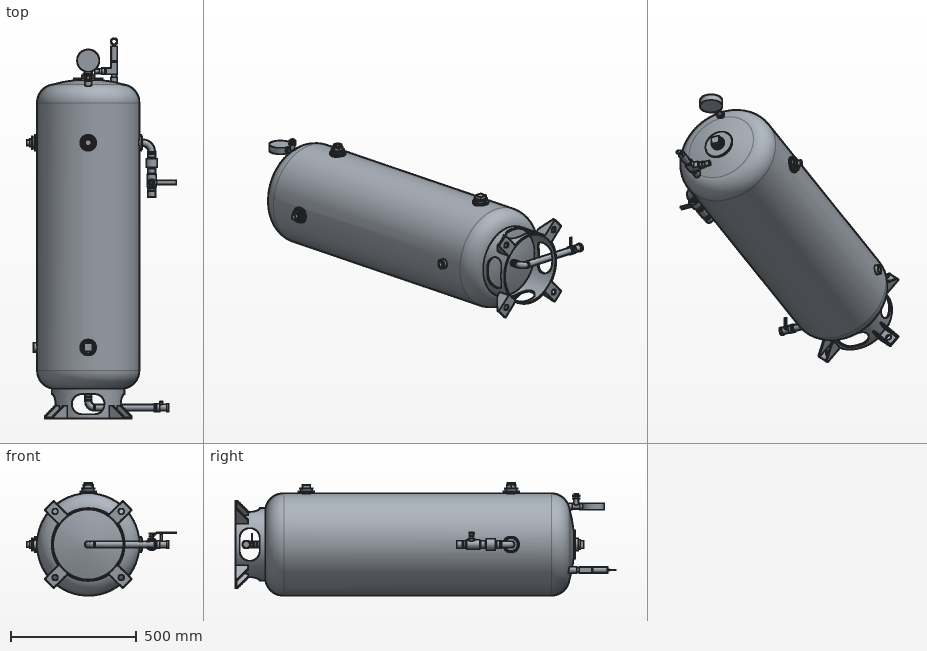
import cadquery as cq
import math


total_length = 1515.0
tank_radius = 205.0
knuckle_radius = 74.0
crown_rim_radius = 141.0
crown_height = 20.0
lower_seam_y = 192.0
upper_seam_y = 1257.0
knuckle_center_radius = tank_radius - knuckle_radius
knuckle_rim_offset = crown_rim_radius - knuckle_center_radius
knuckle_height = math.sqrt(knuckle_radius**2 - knuckle_rim_offset**2)
upper_crown_y = upper_seam_y + knuckle_height
lower_crown_y = lower_seam_y - knuckle_height

skirt_radius = 145.0
skirt_thickness = 6.0
window_length = 129.0
window_height = 79.0
window_center_y = 58.0
window_corner_radius = 38.0
foot_count = 4
foot_reach = 220.0
foot_width = 51.0
foot_thickness = 6.0
foot_height = 51.0
foot_lip = 9.0
foot_shoulder = 160.0
foot_hole_radius = 186.0
foot_hole_diameter = 23.0

upper_port_y = 1098.0
lower_port_y = 283.0
port_depth = 15.0
collar_diameter = 64.0
plug_diameter = 51.0
port_height = 20.0
port_steps = [
    (-port_depth, 3.0, 58.0),
    (3.0, 8.0, collar_diameter),
    (8.0, 17.0, 45.0),
    (17.0, port_height, plug_diameter),
]
tallest_plug = 41.0
square_head_width = 32.0
square_head_height = 14.0
coupling_diameter = 38.0
coupling_bore = 27.0
coupling_height = 14.0

outlet_x = 253.0
outlet_pipe_diameter = 27.0
outlet_bend_radius = 36.0
outlet_sleeve_diameter = 32.0
outlet_end_y = 881.0
drain_y = 44.0
drain_bend_radius = 25.0
drain_pipe_diameter = 25.0

gauge_y = 1425.0
gauge_z = 151.0
gauge_diameter = 90.0
gauge_thickness = 27.0
gauge_valve_y = 1357.0
safety_x = 103.0
safety_z = -101.0
tee_width = 25.0
tee_branch_y = 1383.0
ring_diameter = 27.0
ring_wire_diameter = 3.0
pull_pin_diameter = 5.1

X_AXIS = (1, 0, 0)
Y_AXIS = (0, 1, 0)
Z_AXIS = (0, 0, 1)


def opposite(axis):
    return tuple(-value for value in axis)


def stepped_shaft(origin, axis, steps):
    """Round sections along an axis, each given as (start, end, diameter)."""
    start_point = cq.Vector(*origin)
    direction = cq.Vector(*axis)
    shaft = cq.Workplane()
    for start, end, diameter in steps:
        base = start_point + direction * start
        shaft = shaft.add(cq.Solid.makeCylinder(diameter / 2, end - start, base, direction))
    return shaft.combine()


def box_between(low, high):
    size = [b - a for a, b in zip(low, high)]
    return cq.Workplane().box(*size, centered=False).translate(low)


def swept_pipe(path, plane, diameter):
    return cq.Workplane(plane).circle(diameter / 2).sweep(path)


def tank():
    """Cylinder closed by two heads, each a rounded knuckle running into a shallow dished crown."""
    knuckle_mid_angle = (math.asin(knuckle_rim_offset / knuckle_radius) + math.pi / 2) / 2
    knuckle_mid_radius = knuckle_center_radius + knuckle_radius * math.sin(knuckle_mid_angle)
    knuckle_mid_rise = knuckle_radius * math.cos(knuckle_mid_angle)
    lower_knuckle_mid = (knuckle_mid_radius, lower_seam_y - knuckle_mid_rise)
    upper_knuckle_mid = (knuckle_mid_radius, upper_seam_y + knuckle_mid_rise)
    lower_apex_y = lower_crown_y - crown_height
    upper_apex_y = upper_crown_y + crown_height
    crown_sphere_radius = (crown_rim_radius**2 + crown_height**2) / (2 * crown_height)
    crown_mid_angle = math.asin(crown_rim_radius / crown_sphere_radius) / 2
    crown_mid_radius = crown_sphere_radius * math.sin(crown_mid_angle)
    crown_mid_drop = crown_sphere_radius * (1 - math.cos(crown_mid_angle))
    outline = (
        cq.Workplane("XY")
        .moveTo(0, lower_apex_y)
        .threePointArc((crown_mid_radius, lower_apex_y + crown_mid_drop), (crown_rim_radius, lower_crown_y))
        .threePointArc(lower_knuckle_mid, (tank_radius, lower_seam_y))
        .lineTo(tank_radius, upper_seam_y)
        .threePointArc(upper_knuckle_mid, (crown_rim_radius, upper_crown_y))
        .threePointArc((crown_mid_radius, upper_apex_y - crown_mid_drop), (0, upper_apex_y))
        .close()
    )
    return outline.revolve(360, (0, 0, 0), Y_AXIS)


def skirt():
    """Tube carrying the tank, pierced by four rounded windows on the X and Z sides."""
    top_y = lower_seam_y - knuckle_radius / 2
    tube = stepped_shaft((0, 0, 0), Y_AXIS, [(0, top_y, 2 * skirt_radius)])
    tube = tube.cut(stepped_shaft((0, 0, 0), Y_AXIS, [(0, top_y, 2 * (skirt_radius - skirt_thickness))]))
    window = (
        cq.Workplane("XY")
        .box(window_length, window_height, 2 * tank_radius)
        .edges("|Z")
        .fillet(window_corner_radius)
        .translate((0, window_center_y, 0))
    )
    return tube.cut(window).cut(window.rotate((0, 0, 0), Y_AXIS, 90))


def foot():
    """Channel-shaped foot pointing along +X: a drilled base plate between two tapered cheeks."""
    inner_x = skirt_radius - skirt_thickness
    half_width = foot_width / 2
    base = box_between((inner_x, 0, -half_width), (foot_reach, foot_thickness, half_width))
    hole = stepped_shaft((foot_hole_radius, 0, 0), Y_AXIS, [(0, foot_thickness, foot_hole_diameter)])
    cheek = (
        cq.Workplane("XY")
        .workplane(offset=half_width - foot_thickness)
        .polyline([(inner_x, 0), (foot_reach, 0), (foot_reach, foot_lip), (foot_shoulder, foot_height),
                   (inner_x, foot_height)])
        .close()
        .extrude(foot_thickness)
    )
    return base.cut(hole).union(cheek).union(cheek.mirror("XY"))


def side_plug():
    """Round-ended plug in the port facing -X."""
    origin = (-tank_radius, upper_port_y, 0)
    nut_top = 27.0
    head = [(port_height, nut_top, 32.0), (nut_top, tallest_plug, 23.0)]
    return stepped_shaft(origin, opposite(X_AXIS), port_steps + head)


def top_plug():
    """Plug with a hexagonal waist and a disc cap in the upper port facing +Z."""
    hex_width = 41.0
    hex_top = 33.0
    cap_bottom = 38.0
    plug = stepped_shaft((0, upper_port_y, tank_radius), Z_AXIS,
                         port_steps + [(hex_top, cap_bottom, 25.0), (cap_bottom, tallest_plug, 32.0)])
    hexagon = cq.Workplane("XY").polygon(6, hex_width).extrude(hex_top - port_height)
    return plug.union(hexagon.translate((0, upper_port_y, tank_radius + port_height)))


def square_head():
    return cq.Workplane("XY").rect(square_head_width, square_head_width).extrude(square_head_height)


def lower_plug():
    """Square-headed plug in the lower port facing +Z."""
    plug = stepped_shaft((0, lower_port_y, tank_radius), Z_AXIS, port_steps)
    return plug.union(square_head().translate((0, lower_port_y, tank_radius + port_height)))


def end_plug():
    """Square-headed plug on a flat pad at the middle of the upper head."""
    pad_top = 1354.0
    shoulder_y = 1366.0
    plug_top = 1374.0
    plug = stepped_shaft((0, 0, 0), Y_AXIS, [
        (upper_crown_y, pad_top, 115.0),
        (pad_top, shoulder_y, plug_diameter),
        (shoulder_y, plug_top, 38.0),
    ])
    head = square_head().rotate((0, 0, 0), X_AXIS, -90)
    return plug.union(head.translate((0, plug_top, 0)))


def outlet_line():
    """Elbow on the +X port leading towards the feet through a union and a lever valve."""
    port = stepped_shaft((tank_radius, upper_port_y, 0), X_AXIS,
                         [(-port_depth, 6.0, collar_diameter), (6.0, 10.0, plug_diameter)])
    bend_start_x = outlet_x - outlet_bend_radius
    path = (
        cq.Workplane("XY")
        .moveTo(tank_radius, upper_port_y)
        .lineTo(bend_start_x, upper_port_y)
        .radiusArc((outlet_x, upper_port_y - outlet_bend_radius), outlet_bend_radius)
        .lineTo(outlet_x, outlet_end_y)
    )
    plane = cq.Plane((tank_radius, upper_port_y, 0), Y_AXIS, X_AXIS)
    line = port.union(swept_pipe(path, plane, outlet_pipe_diameter))
    sleeve = outlet_sleeve_diameter
    return line.union(stepped_shaft((outlet_x, 0, 0), Y_AXIS, [
        (outlet_end_y, 904.0, sleeve),
        (909.0, 918.0, sleeve),
        (922.0, 972.0, 36.0),
        (977.0, 995.0, sleeve),
        (1000.0, 1035.0, 45.0),
        (1040.0, 1053.0, sleeve),
        (1057.0, 1062.0, sleeve),
    ]))


def outlet_lever():
    """Valve stem and the cranked flat lever reaching furthest along +X."""
    lever_y = 940.0
    lever_width = 18.0
    lever_end_x = 351.0
    lever_top_z = 48.0
    lever_thickness = 3.0
    low_z = 30.0
    crank_x = 257.0
    bend_x = 273.0
    heel_x = 242.0
    bonnet_top_z = 23.0
    nut_z = 42.0
    nut_top_z = 45.0
    underside = [(heel_x, low_z), (crank_x, low_z), (bend_x, lever_top_z - lever_thickness),
                 (lever_end_x, lever_top_z - lever_thickness)]
    upper_side = [(x, z + lever_thickness) for x, z in reversed(underside)]
    lever = (
        cq.Workplane("XY")
        .polyline(underside + upper_side)
        .close()
        .extrude(lever_width)
        .rotate((0, 0, 0), X_AXIS, 90)
        .translate((0, lever_y + lever_width / 2, 0))
    )
    stem = stepped_shaft((outlet_x, lever_y, 0), Z_AXIS, [
        (0, bonnet_top_z, 25.0),
        (bonnet_top_z, nut_z, 11.4),
        (nut_z, nut_top_z, 20.0),
    ])
    return lever.union(stem)


def drain_line():
    """Elbow under the lower head, pipe through the skirt window and a small drain valve."""
    start_y = lower_crown_y - crown_height / 2
    end_x = 321.0
    path = (
        cq.Workplane("XY")
        .moveTo(0, start_y)
        .lineTo(0, drain_y + drain_bend_radius)
        .radiusArc((drain_bend_radius, drain_y), -drain_bend_radius)
        .lineTo(end_x, drain_y)
    )
    plane = cq.Plane((0, start_y, 0), X_AXIS, opposite(Y_AXIS))
    line = swept_pipe(path, plane, drain_pipe_diameter)
    fittings = stepped_shaft((0, drain_y, 0), X_AXIS, [
        (21.0, 27.0, 27.0),
        (262.0, 268.0, 32.0),
        (273.0, 285.0, 32.0),
        (285.0, 312.0, 27.0),
        (312.0, end_x, 32.0),
    ])
    sleeves = stepped_shaft((0, 0, 0), Y_AXIS, [(71.0, 77.0, 27.0), (85.0, 90.0, 27.0)])
    return line.union(fittings).union(sleeves)


def drain_lever():
    """Thin upright handle standing on a short post beside the drain valve."""
    lever_x = 291.0
    lever_y = 67.0
    lever_width = 9.0
    lever_thickness = 3.0
    lever_top_z = 42.0
    upright = box_between((lever_x - lever_width / 2, lever_y - lever_thickness / 2, 0),
                          (lever_x + lever_width / 2, lever_y + lever_thickness / 2, lever_top_z))
    return upright.union(stepped_shaft((lever_x, drain_y, 0), Y_AXIS, [(0, lever_y - drain_y, 13.8)]))


def pressure_gauge():
    """Dial gauge on a stub pipe with a small bleed cock pointing along +Z."""
    embedded_y = 1272.0
    dial = stepped_shaft((0, gauge_y, gauge_z), Z_AXIS,
                         [(-gauge_thickness / 2, gauge_thickness / 2, gauge_diameter)])
    stub = stepped_shaft((0, 0, gauge_z), Y_AXIS, [
        (embedded_y, 1342.0, 27.0),
        (1342.0, 1372.0, 21.0),
        (1372.0, gauge_y, 27.0),
    ])
    cock = stepped_shaft((0, gauge_valve_y, gauge_z), Z_AXIS, [
        (0, 30.0, 20.0),
        (30.0, 33.0, 27.0),
        (33.0, 50.0, 15.0),
        (41.0, 44.0, 27.0),
    ])
    return dial.union(stub).union(cock)


def safety_valve():
    """Square tee with a side branch towards -X, topped by a safety valve and its pull ring."""
    embedded_y = 1302.0
    body_top = 1483.0
    tee_top = 1419.0
    tee_half = tee_width / 2
    tee_arm_length = 32.0
    column = stepped_shaft((safety_x, 0, safety_z), Y_AXIS, [
        (embedded_y, 1358.0, 27.0),
        (1358.0, tee_branch_y, 20.0),
        (tee_top, 1424.0, 23.0),
        (1424.0, body_top, tee_width),
        (body_top, total_length - ring_diameter + ring_wire_diameter / 2, pull_pin_diameter),
    ])
    tee = box_between((safety_x - tee_half, tee_branch_y - tee_half, safety_z - tee_half),
                      (safety_x + tee_half, tee_top, safety_z + tee_half))
    branch_arm = box_between((safety_x - tee_arm_length, tee_branch_y - tee_half, safety_z - tee_half),
                             (safety_x, tee_branch_y + tee_half, safety_z + tee_half))
    branch = stepped_shaft((safety_x, tee_branch_y, safety_z), opposite(X_AXIS), [
        (tee_arm_length, 36.0, 20.0),
        (36.0, 48.0, 25.0),
        (48.0, 59.0, 21.0),
        (59.0, 77.0, 20.0),
    ])
    ring_radius = (ring_diameter - ring_wire_diameter) / 2
    ring_center = cq.Vector(safety_x, total_length - ring_diameter / 2, safety_z)
    ring = cq.Solid.makeTorus(ring_radius, ring_wire_diameter / 2, ring_center, cq.Vector(*Z_AXIS))
    return column.union(tee).union(branch_arm).union(branch).union(cq.Workplane(ring))


result = tank().union(skirt())
for index in range(foot_count):
    angle = (index + 0.5) * 360 / foot_count
    result = result.union(foot().rotate((0, 0, 0), Y_AXIS, angle))

for fitting in (side_plug, top_plug, lower_plug, end_plug, outlet_line, outlet_lever, drain_line, drain_lever,
                pressure_gauge, safety_valve):
    result = result.union(fitting())

coupling_origin = (-tank_radius, lower_port_y, 0)
result = result.union(stepped_shaft(coupling_origin, opposite(X_AXIS),
                                    [(-port_depth, coupling_height, coupling_diameter)]))
result = result.cut(stepped_shaft(coupling_origin, opposite(X_AXIS), [(0, coupling_height, coupling_bore)]))